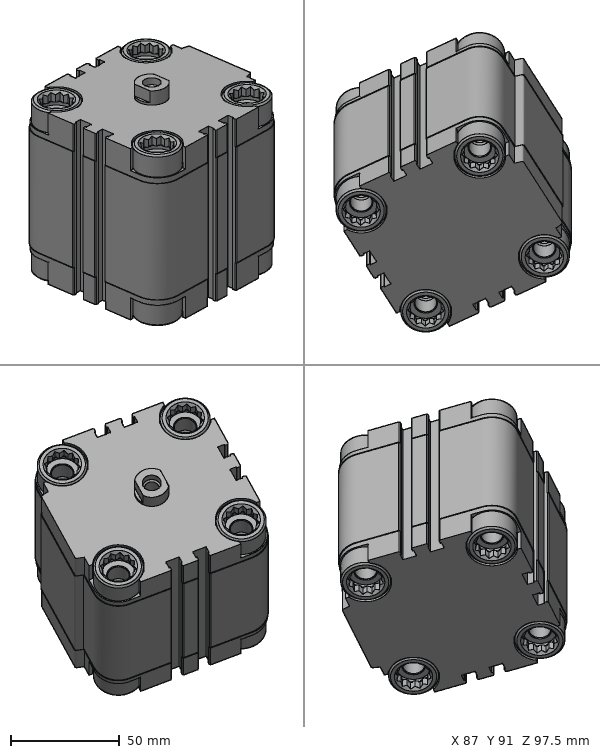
import cadquery as cq
import math

tube_width = 87.0
housing_length = 90.0
cap_length = 14.4
cap_inset = 0.35
screw_spacing = 62.0
screw_offset = screw_spacing / 2
tube_corner_radius = (tube_width - screw_spacing) / 2

pad_height = 4.0
pad_top_half_width = 19.0
pad_base_half_width = 20.0
pad_fillet = 1.0
pad_face = tube_width / 2 + pad_height

slot_offset = 6.8
slot_width = 6.7
slot_depth = 5.6
mouth_width = 5.5
lip_thickness = 2.3
mouth_flare = 0.5

screw_diameter = 23.0
recess_diameter = 23.8
screw_length = 11.5
screw_chamfer = 0.9
screw_edge_to_notch = screw_diameter / 4
through_diameter = 8.4
socket_mouth_diameter = 17.6
socket_point_diameter = 16.3
socket_valley_diameter = 14.4
socket_floor_diameter = 16.5
socket_depth = 7.6
socket_star_depth = 5.5
socket_points = 12
thread_diameter = 10.0
thread_mouth_diameter = 10.8
thread_depth = 10.0

rod_diameter = 16.0
rod_projection = 7.5
rod_insertion = cap_length
rod_flats = 13.0
rod_flat_length = 6.2
rod_hole_diameter = 6.65
rod_counterbore_diameter = 8.57
rod_counterbore_depth = 3.6
rod_hole_depth = 15.0
drill_tip_angle = 118.0


def disc(diameter, bottom, length):
    return cq.Workplane("XY", origin=(0, 0, bottom)).circle(diameter / 2).extrude(length)


def cone(large_diameter, small_diameter, top, included_angle=90.0):
    """Downward countersink with its large end at height top."""
    depth = (large_diameter - small_diameter) / 2 / math.tan(math.radians(included_angle / 2))
    base = cq.Vector(0, 0, top - depth)
    return cq.Workplane(cq.Solid.makeCone(small_diameter / 2, large_diameter / 2, depth, base))


def rounded_prism(width, corner_radius, bottom, length):
    return (
        cq.Workplane("XY", origin=(0, 0, bottom))
        .rect(width, width)
        .extrude(length)
        .edges("|Z")
        .fillet(corner_radius)
    )


def pad(inset, bottom, length):
    """Trapezoidal rail on the +Y face, with its outer edges rounded."""
    base = tube_width / 2 - inset
    outline = [
        (-pad_base_half_width, 0),
        (pad_base_half_width, 0),
        (pad_base_half_width, base),
        (pad_top_half_width, pad_face - inset),
        (-pad_top_half_width, pad_face - inset),
        (-pad_base_half_width, base),
    ]
    rail = cq.Workplane("XY", origin=(0, 0, bottom)).polyline(outline).close().extrude(length)
    return rail.edges("|Z").edges(">Y").fillet(pad_fillet)


def slot(inset, bottom, length):
    """One undercut slot cutter in the -Y face, centred on X = 0, with a flared mouth."""
    face = inset - tube_width / 2
    lip_back = lip_thickness - tube_width / 2
    floor = slot_depth - tube_width / 2
    outline = [
        (mouth_width / 2 + mouth_flare, face),
        (mouth_width / 2, face + mouth_flare),
        (mouth_width / 2, lip_back),
        (slot_width / 2, lip_back),
        (slot_width / 2, floor),
    ]
    mirrored = [(-x, y) for x, y in reversed(outline)]
    cutter = cq.Workplane("XY", origin=(0, 0, bottom)).polyline(outline + mirrored)
    return cutter.close().extrude(length)


def profile(inset, bottom, length):
    """Slotted housing section whose outside lies inset from the tube faces."""
    body = rounded_prism(tube_width - 2 * inset, tube_corner_radius - inset, bottom, length)
    body = body.union(pad(inset, bottom, length))
    for face_angle in (-90, 0, 90):
        for x in (-slot_offset, slot_offset):
            cutter = slot(inset, bottom, length).translate((x, 0, 0))
            body = body.cut(cutter.rotate((0, 0, 0), (0, 0, 1), face_angle))
    return body


def socket():
    """Socket cutter opening upwards at Z = 0: flared mouth, pointed star, round floor, threaded hole."""
    star = []
    for step in range(2 * socket_points):
        diameter = socket_valley_diameter if step % 2 else socket_point_diameter
        angle = math.pi * step / socket_points
        star.append((diameter / 2 * math.cos(angle), diameter / 2 * math.sin(angle)))
    star_part = cq.Workplane("XY", origin=(0, 0, -socket_star_depth)).polyline(star).close()
    cutter = star_part.extrude(socket_star_depth)
    cutter = cutter.union(cone(socket_mouth_diameter, socket_valley_diameter, 0))
    cutter = cutter.union(disc(socket_floor_diameter, -socket_depth, socket_depth - socket_star_depth))

    thread_floor = -socket_depth - thread_depth
    cutter = cutter.union(disc(thread_diameter, thread_floor, thread_depth))
    cutter = cutter.union(cone(thread_mouth_diameter, thread_diameter, -socket_depth))
    return cutter.union(cone(thread_diameter, through_diameter, thread_floor))


def corner_notches():
    """Square cutters that open the four corners of a cap; their top is at Z = 0."""
    notch_size = tube_width
    notch_spacing = screw_spacing - 2 * screw_edge_to_notch + notch_size
    return (
        cq.Workplane("XY", origin=(0, 0, -screw_length))
        .rect(notch_spacing, notch_spacing, forConstruction=True)
        .vertices()
        .rect(notch_size, notch_size)
        .extrude(screw_length)
    )


def screw_head():
    """Round screw head with its chamfered top face at Z = 0."""
    head = disc(screw_diameter, -screw_length, screw_length)
    return head.faces(">Z").chamfer(screw_chamfer)


def at_corners(shape):
    """Copies of a shape on the four screw axes."""
    copies = cq.Workplane("XY")
    for x in (-screw_offset, screw_offset):
        for y in (-screw_offset, screw_offset):
            copies = copies.add(shape.translate((x, y, 0)))
    return copies.combine()


def at_both_ends(shape):
    """A shape built below Z = 0, placed at the top end and mirrored to the bottom end."""
    top = shape.translate((0, 0, housing_length))
    return top.union(shape.mirror("XY"))


def build_housing():
    tube_length = housing_length - 2 * cap_length
    body = profile(0, cap_length, tube_length)
    for cap_bottom in (0, cap_length + tube_length):
        body = body.union(profile(cap_inset, cap_bottom, cap_length))

    body = body.cut(at_both_ends(corner_notches()))
    recess = disc(recess_diameter, -screw_length, screw_length)
    body = body.cut(at_both_ends(at_corners(recess)))
    body = body.union(at_both_ends(at_corners(screw_head())))

    through_hole = disc(through_diameter, 0, housing_length)
    body = body.cut(at_corners(through_hole))
    body = body.cut(at_both_ends(at_corners(socket())))

    return body.cut(disc(rod_diameter, housing_length - rod_insertion, rod_insertion))


def build_rod():
    tip = housing_length + rod_projection
    rod = disc(rod_diameter, housing_length - rod_insertion, rod_projection + rod_insertion)
    between_flats = cq.Workplane("XY", origin=(0, 0, tip)).rect(2 * rod_diameter, rod_flats)
    around_flats = (
        cq.Workplane("XY", origin=(0, 0, tip))
        .rect(2 * rod_diameter, 2 * rod_diameter)
        .extrude(-rod_flat_length)
        .cut(between_flats.extrude(-rod_flat_length))
    )
    rod = rod.cut(around_flats)

    hole_floor = tip - rod_hole_depth
    counterbore_floor = tip - rod_counterbore_depth
    hole = disc(rod_hole_diameter, hole_floor, rod_hole_depth)
    hole = hole.union(cone(rod_hole_diameter, 0, hole_floor, drill_tip_angle))
    hole = hole.union(disc(rod_counterbore_diameter, counterbore_floor, rod_counterbore_depth))
    hole = hole.union(
        cone(rod_counterbore_diameter, rod_hole_diameter, counterbore_floor, drill_tip_angle)
    )
    return rod.cut(hole)


housing = build_housing()
rod = build_rod()
result = cq.Compound.makeCompound([housing.val(), rod.val()])